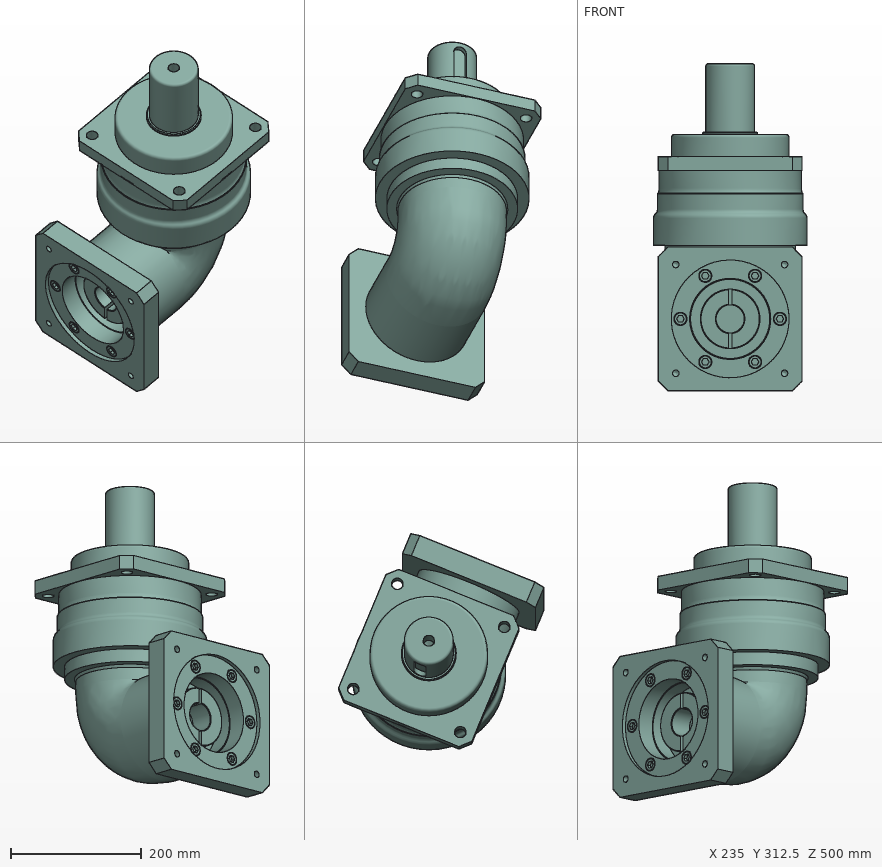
import cadquery as cq
import math


flange_side = 220.0
corner_chamfer = 15.0

shaft_top = 390.0
collar_top = 285.5
pilot_top = 282.0
flange_top = 248.0
flange_thickness = 21.5
body_end = 198.5
band_top = 192.0
band_end = 167.0
rim_top = 154.0
rim_bottom = 112.5
adapter_bottom = 92.5
neck_bottom = 88.0

shaft_radius = 37.5
collar_radius = 42.0
pilot_radius = 90.0
body_radius = 109.0
band_radius = 111.5
rim_radius = 117.5
adapter_radius = 100.0
elbow_radius = 83.0

shaft_fillet = 4.0
collar_chamfer = 1.5
band_chamfer = 1.0
pilot_fillet = 5.0
neck_flare = 2.0

key_width = 20.0
key_depth = 7.5
key_length = 90.0
key_bottom = 290.0
centre_hole_radius = 8.5
centre_hole_depth = 42.0

output_bolt_circle = 125.0
output_hole_diameter = 17.5

bend_radius = 69.0

input_face = 195.0
input_thickness = 34.0
recess_radius = 90.0
recess_depth = 7.0
input_bolt_circle = 117.5
corner_hole_radius = 5.0
corner_hole_depth = 20.0
drill_point_angle = 118.0

plate_bore_radius = 62.0
housing_bore_radius = 60.5
hub_radius = 45.5
hub_setback = 30.0
hub_length = 30.0
hub_hole_radius = 21.5
hub_hole_depth = 40.0
hub_chamfer = 1.0
hub_slot_width = 5.0
hub_slot_depth = 25.0

screw_count = 6
screw_circle = 76.0
counterbore_radius = 10.0
screw_head_radius = 9.0
screw_head_height = 12.0
socket_across_flats = 10.0
socket_depth = 6.0

recess_floor = input_face - recess_depth
hub_face = recess_floor - hub_setback


def input_plane(distance):
    """Plane across the input axis at the given distance, facing outwards (-Y)."""
    return cq.Workplane("XZ", origin=(0, -distance, 0))


def square_corners(circle_radius):
    """Four hole centres on the diagonals of a square flange."""
    offset = circle_radius / math.sqrt(2)
    return [(sx * offset, sy * offset) for sx in (-1, 1) for sy in (-1, 1)]


def drilled_hole(plane, radius, depth):
    """Cutter for a blind hole with a conical drill point; depth is to the full diameter."""
    point_length = radius / math.tan(math.radians(drill_point_angle / 2))
    profile = [(0, 0), (radius, 0), (radius, -depth), (0, -depth - point_length)]
    cutter = cq.Workplane("XY").polyline(profile).close().revolve(360, (0, 0), (0, 1))
    upright = cutter.rotate((0, 0, 0), (1, 0, 0), 90)
    return cq.Workplane(upright.val().moved(plane.plane.location))


def output_body():
    """Turned output side, from the shaft end down to the elbow neck."""
    mid_radius = (band_radius + rim_radius) / 2
    mid_height = (band_end + rim_top) / 2
    neck_radius = elbow_radius + neck_flare
    return (
        cq.Workplane("XZ")
        .moveTo(0, shaft_top)
        .lineTo(shaft_radius - shaft_fillet, shaft_top)
        .tangentArcPoint((shaft_radius, shaft_top - shaft_fillet), relative=False)
        .lineTo(shaft_radius, collar_top)
        .lineTo(collar_radius - collar_chamfer, collar_top)
        .lineTo(collar_radius, collar_top - collar_chamfer)
        .lineTo(collar_radius, pilot_top)
        .lineTo(pilot_radius - pilot_fillet, pilot_top)
        .tangentArcPoint((pilot_radius, pilot_top - pilot_fillet), relative=False)
        .lineTo(pilot_radius, flange_top)
        .lineTo(body_radius, flange_top)
        .lineTo(body_radius, body_end)
        .tangentArcPoint((band_radius - band_chamfer, band_top), relative=False)
        .lineTo(band_radius, band_top - band_chamfer)
        .lineTo(band_radius, band_end)
        .tangentArcPoint((mid_radius, mid_height), relative=False)
        .tangentArcPoint((rim_radius, rim_top), relative=False)
        .lineTo(rim_radius, rim_bottom)
        .lineTo(adapter_radius, rim_bottom)
        .lineTo(adapter_radius, adapter_bottom)
        .lineTo(neck_radius, adapter_bottom)
        .lineTo(elbow_radius, neck_bottom)
        .lineTo(0, neck_bottom)
        .close()
        .revolve(360, (0, 0), (0, 1))
    )


def output_flange():
    """Square mounting flange with four through holes."""
    return (
        cq.Workplane("XY", origin=(0, 0, flange_top - flange_thickness))
        .rect(flange_side, flange_side)
        .extrude(flange_thickness)
        .edges("|Z")
        .chamfer(corner_chamfer)
        .faces(">Z")
        .workplane(origin=(0, 0, 0))
        .pushPoints(square_corners(output_bolt_circle))
        .hole(output_hole_diameter)
    )


def shaft_cuts():
    """Round-ended keyway on the +Y side and the drilled centre hole."""
    keyway = (
        cq.Workplane("XZ", origin=(0, shaft_radius, key_bottom + key_length / 2))
        .slot2D(key_length, key_width, 90)
        .extrude(key_depth)
    )
    top = cq.Workplane("XY", origin=(0, 0, shaft_top))
    return keyway.union(drilled_hole(top, centre_hole_radius, centre_hole_depth))


def elbow():
    """Tight 90 degree bend with straight ends towards both flanges."""
    bend_start = cq.Workplane("XY", origin=(0, 0, bend_radius))
    chord_half = math.sqrt(elbow_radius**2 - bend_radius**2)
    bend = (
        bend_start.moveTo(-chord_half, -bend_radius)
        .threePointArc((0, elbow_radius), (chord_half, -bend_radius))
        .close()
        .revolve(90, (5, -bend_radius), (0, -bend_radius))
    )
    upright = bend_start.circle(elbow_radius).extrude(adapter_bottom - bend_radius)
    level_length = input_face - input_thickness - bend_radius
    level = input_plane(bend_radius).circle(elbow_radius).extrude(level_length)
    return cq.Workplane(bend.val().toNURBS()).union(upright).union(level)


def input_flange():
    """Square input plate with chamfered corners."""
    return (
        input_plane(input_face - input_thickness)
        .rect(flange_side, flange_side)
        .extrude(input_thickness)
        .edges("|Y")
        .chamfer(corner_chamfer)
    )


def input_cuts():
    """Round recess, stepped bore and blind corner holes of the input plate."""
    bore_floor = hub_face - hub_length
    cuts = input_plane(recess_floor).circle(recess_radius).extrude(recess_depth)
    cuts = cuts.union(
        input_plane(hub_face).circle(plate_bore_radius).extrude(recess_floor - hub_face)
    )
    cuts = cuts.union(
        input_plane(bore_floor).circle(housing_bore_radius).extrude(hub_length)
    )
    for x, z in square_corners(input_bolt_circle):
        mouth = cq.Workplane("XZ", origin=(x, -input_face, z))
        cuts = cuts.union(drilled_hole(mouth, corner_hole_radius, corner_hole_depth))
    return cuts


def clamping_hub():
    """Slotted hub standing on the bore floor."""
    return (
        input_plane(hub_face - hub_length)
        .circle(hub_radius)
        .extrude(hub_length)
        .faces("<Y")
        .chamfer(hub_chamfer)
    )


def hub_cuts():
    """Motor shaft hole through the hub and the clamping slot across it."""
    hole = (
        input_plane(hub_face - hub_hole_depth)
        .circle(hub_hole_radius)
        .extrude(hub_hole_depth)
    )
    mouth = (
        input_plane(hub_face - hub_chamfer)
        .circle(hub_hole_radius)
        .workplane(offset=hub_chamfer)
        .circle(hub_hole_radius + hub_chamfer)
        .loft()
    )
    slot = (
        input_plane(hub_face - hub_slot_depth)
        .rect(hub_slot_width, 2 * hub_radius)
        .extrude(hub_slot_depth)
    )
    return hole.union(mouth).union(slot)


def screw_cuts():
    """Clearance rings and hexagon sockets of the flush socket screws."""
    socket_diameter = socket_across_flats / math.cos(math.pi / 6)
    rings = (
        input_plane(recess_floor - screw_head_height)
        .polarArray(screw_circle, 0, 360, screw_count)
        .circle(counterbore_radius)
        .circle(screw_head_radius)
        .extrude(screw_head_height)
    )
    sockets = (
        input_plane(recess_floor - socket_depth)
        .polarArray(screw_circle, 0, 360, screw_count)
        .polygon(6, socket_diameter)
        .extrude(socket_depth)
    )
    return rings.union(sockets)


result = (
    output_body()
    .union(output_flange())
    .cut(shaft_cuts())
    .union(elbow())
    .union(input_flange())
    .cut(input_cuts())
    .union(clamping_hub())
    .cut(hub_cuts())
    .cut(screw_cuts())
)